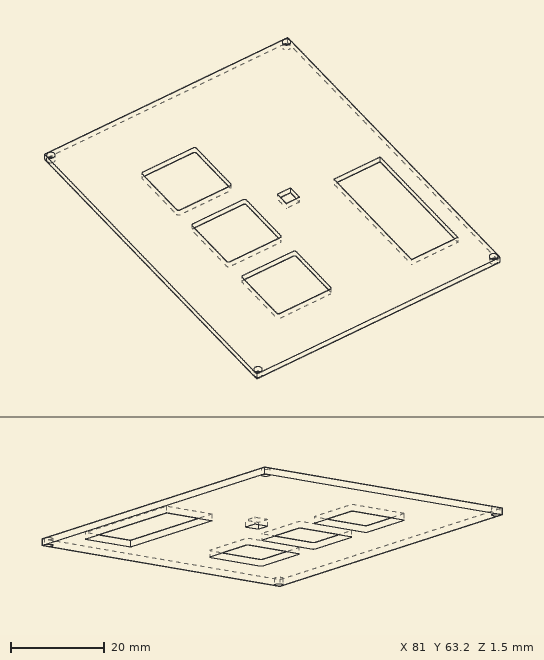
import cadquery as cq

PLATE_LENGTH = 80.95
PLATE_WIDTH = 63.16
PLATE_THICKNESS = 1.5

HOLE_DIAMETER = 1.8
HOLE_EDGE_DISTANCE = 1.0

KEY_COUNT = 3
KEY_SIZE = 14.0
KEY_CORNER_RADIUS = 0.5
KEY_PITCH = 19.05
KEY_ROW_CENTER_X = 1.95
KEY_ROW_CENTER_Y = -10.6

DISPLAY_LENGTH = 29.6
DISPLAY_WIDTH = 12.0
DISPLAY_CENTER = (15.55, 21.5)

SMALL_WINDOW_SIZE = 3.4
SMALL_WINDOW_CENTER = (-0.6, 4.6)


def through_window(length, width, center):
    """Cutting block through the full plate thickness."""
    return (
        cq.Workplane("XY")
        .center(*center)
        .rect(length, width)
        .extrude(PLATE_THICKNESS)
    )


def make_plate():
    """Rectangular plate with one mounting hole in each corner."""
    hole_spacing_x = PLATE_LENGTH - 2 * HOLE_EDGE_DISTANCE
    hole_spacing_y = PLATE_WIDTH - 2 * HOLE_EDGE_DISTANCE
    return (
        cq.Workplane("XY")
        .rect(PLATE_LENGTH, PLATE_WIDTH)
        .extrude(PLATE_THICKNESS)
        .faces(">Z")
        .workplane()
        .rect(hole_spacing_x, hole_spacing_y, forConstruction=True)
        .vertices()
        .hole(HOLE_DIAMETER)
    )


def cut_key_openings(plate):
    """Cut the evenly spaced row of key openings."""
    for index in range(KEY_COUNT):
        offset = (index - (KEY_COUNT - 1) / 2) * KEY_PITCH
        center = (KEY_ROW_CENTER_X + offset, KEY_ROW_CENTER_Y)
        opening = through_window(KEY_SIZE, KEY_SIZE, center)
        plate = plate.cut(opening.edges("|Z").fillet(KEY_CORNER_RADIUS))
    return plate


def cut_windows(plate):
    """Cut the display window and the small square window."""
    display = through_window(DISPLAY_LENGTH, DISPLAY_WIDTH, DISPLAY_CENTER)
    small_window = through_window(SMALL_WINDOW_SIZE, SMALL_WINDOW_SIZE, SMALL_WINDOW_CENTER)
    return plate.cut(display).cut(small_window)


result = cut_windows(cut_key_openings(make_plate()))